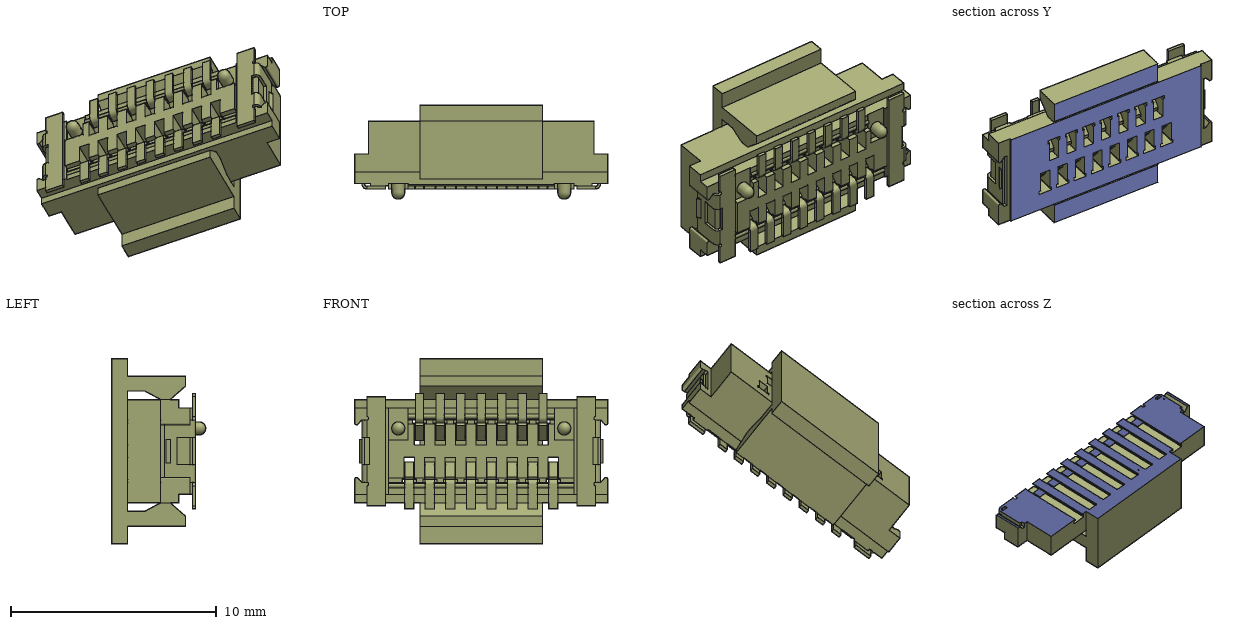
import cadquery as cq
import math


width = 12.3
rear_width = 10.97
height = 5.02
front_height = 4.21
rear_y = 3.31
ear_rear_y = 1.71
step_y = 0.82
front_y = 0.27

end_wall_x = 5.67
ear_z = 1.28
ear_lip = 0.14
ear_round = 0.07
undercut_z = 1.51

sheet = 0.16
plate_half_x = 4.51
plate_half_z = 1.32
peg_recess_x = 3.55
peg_recess_z = 0.54
pad_seat_x = 5.39
gutter_y = 0.25
rail_front_y = 0.22
rib_z = 1.69
rib_half_width = 0.11
rib_front_y = 0.15

peg_x = 4.03
peg_z = 1.11
peg_radius = 0.32
peg_straight = 0.17

upper_count = 7
lower_count = 8
upper_row_length = 6.0
pitch = upper_row_length / (upper_count - 1)
upper_lead_width = 0.4
lower_lead_width = 0.45
lead_end_z = 2.8
bend_radius = 0.25
bend_z = 1.61
ridge_y = 0.44
ridge_z = 1.25
tip_y = 1.48
tip_z = 0.52
slot_width = 0.5
slot_inner_z = 0.31
notch_width = 0.68
notch_inner_z = bend_z - bend_radius
slot_outer_z = notch_inner_z + sheet

pad_inner_x = 4.65
pad_outer_x = 5.56
pad_height = 5.31
relief_radius = 0.09
side_plate_x = 5.8
side_plate_rear_y = 1.53
tab_bend = 0.26
window_x = 5.42
window_y = 0.9
window_half_z = 0.65
barb_half_z = 0.58
barb_x = 5.93
barb_y = (1.23, 1.3, 1.44)
barb_knee = 0.04

cap_width = 5.98
cap_height = 9.0
cap_back_y = 4.08
leg_front_y = 0.49
leg_outer_z = 3.65
leg_inner_z = 2.92
leg_taper_y = 2.47
grip_y = (1.71, 1.23)
leg_nose_z = 3.16


def box(x0, x1, y0, y1, z0, z1):
    """Box between the given limits."""
    block = cq.Workplane("XY").box(x1 - x0, y1 - y0, z1 - z0, centered=False)
    return block.translate((x0, y0, z0))


def centred_box(x_size, y0, y1, z_size):
    """Box centred in X and Z."""
    return box(-x_size / 2, x_size / 2, y0, y1, -z_size / 2, z_size / 2)


def both_ends(half):
    """Join a shape with its mirror image across the YZ plane."""
    return half.union(half.mirror("YZ"))


def end_recess():
    """Recess between the two ears of the -X end, undercut behind their lips."""
    half = (
        cq.Workplane("XZ")
        .moveTo(-width / 2, 0)
        .lineTo(-width / 2, ear_z + ear_round)
        .radiusArc((-width / 2 + ear_round, ear_z), -ear_round)
        .lineTo(-width / 2 + ear_lip, ear_z)
        .lineTo(-side_plate_x, undercut_z)
        .lineTo(-end_wall_x, undercut_z)
        .lineTo(-end_wall_x, 0)
        .close()
        .extrude(-ear_rear_y)
    )
    return half.union(half.mirror("XY"))


def lead_rail(half_length):
    """Strip with a rounded rib behind the upper leads, and the gutter floor beside it."""
    return (
        cq.Workplane("YZ")
        .moveTo(front_y, plate_half_z)
        .lineTo(gutter_y, plate_half_z)
        .lineTo(gutter_y, slot_outer_z)
        .lineTo(rail_front_y, slot_outer_z)
        .lineTo(rail_front_y, rib_z - rib_half_width)
        .threePointArc((rib_front_y, rib_z), (rail_front_y, rib_z + rib_half_width))
        .lineTo(rail_front_y, front_height / 2)
        .lineTo(front_y, front_height / 2)
        .close()
        .extrude(half_length, both=True)
    )


def make_housing():
    body = centred_box(rear_width, step_y, rear_y, height)
    body = body.union(centred_box(width, step_y, ear_rear_y, height))
    body = body.union(centred_box(width, front_y, step_y, front_height))
    body = body.cut(both_ends(end_recess()))

    body = body.union(
        box(-plate_half_x, plate_half_x, 0, front_y, -plate_half_z, peg_recess_z)
    )
    body = body.union(
        box(-peg_recess_x, peg_recess_x, 0, front_y, -plate_half_z, plate_half_z)
    )

    seat_z = front_height / 2
    seat = box(-pad_seat_x, -plate_half_x, sheet, front_y, -seat_z, seat_z)
    body = body.union(both_ends(seat))

    body = body.union(lead_rail(peg_recess_x))
    body = body.union(lead_rail(plate_half_x).mirror("XY"))
    return body


def contact_slot(x):
    """Slot of an upper contact, running through the housing in Y."""
    half = slot_width / 2
    notch = notch_width / 2
    slot = box(x - half, x + half, 0, rear_y, slot_inner_z, slot_outer_z)
    return slot.union(box(x - notch, x + notch, 0, rear_y, notch_inner_z, slot_outer_z))


def contact(x, lead_width):
    """Upper contact: flat lead, bend, and a beam sloping back into the slot."""
    diagonal = math.sqrt(0.5)
    inner_radius = bend_radius - sheet
    beam = (
        cq.Workplane("YZ")
        .moveTo(0, lead_end_z)
        .lineTo(0, bend_z)
        .threePointArc(
            (bend_radius * (1 - diagonal), bend_z - bend_radius * diagonal),
            (bend_radius, notch_inner_z),
        )
        .lineTo(ridge_y + sheet / 2, notch_inner_z)
        .lineTo(ridge_y, ridge_z)
        .lineTo(tip_y, tip_z)
        .lineTo(tip_y, tip_z + sheet)
        .lineTo(ridge_y + 2 * sheet, slot_outer_z)
        .lineTo(bend_radius, slot_outer_z)
        .threePointArc(
            (bend_radius - inner_radius * diagonal, bend_z - inner_radius * diagonal),
            (sheet, bend_z),
        )
        .lineTo(sheet, lead_end_z)
        .close()
        .extrude(lead_width / 2, both=True)
    )
    return beam.translate((x, 0, 0))


def row_positions(count):
    return [(i - (count - 1) / 2) * pitch for i in range(count)]


def make_peg():
    cylinder = (
        cq.Workplane("XZ", origin=(-peg_x, front_y, peg_z))
        .circle(peg_radius)
        .extrude(front_y + peg_straight)
    )
    dome = cq.Workplane("XY").sphere(peg_radius).translate((-peg_x, -peg_straight, peg_z))
    return cylinder.union(dome)


def make_solder_tab():
    """Solder pad of the -X end, bent up into a plate on the end wall."""
    plate_thickness = side_plate_x - end_wall_x
    pad_half_z = pad_height / 2
    pad = box(-pad_outer_x, -pad_inner_x, 0, sheet, -pad_half_z, pad_half_z)
    relief_z = undercut_z + relief_radius
    reliefs = (
        cq.Workplane("XZ")
        .pushPoints([(-pad_outer_x, relief_z), (-pad_outer_x, -relief_z)])
        .circle(relief_radius)
        .extrude(-sheet)
    )
    pad = pad.cut(reliefs)

    bend_x = -side_plate_x + tab_bend
    inner_radius = tab_bend - plate_thickness
    side_plate = (
        cq.Workplane("XY")
        .moveTo(-side_plate_x, side_plate_rear_y)
        .lineTo(-side_plate_x, tab_bend)
        .radiusArc((bend_x, 0), -tab_bend)
        .lineTo(-pad_seat_x, 0)
        .lineTo(-pad_seat_x, sheet)
        .lineTo(bend_x, plate_thickness)
        .radiusArc((bend_x - inner_radius, tab_bend), inner_radius)
        .lineTo(-end_wall_x, side_plate_rear_y)
        .close()
        .extrude(undercut_z, both=True)
    )
    window = box(-side_plate_x, -window_x, 0, window_y, -window_half_z, window_half_z)

    start_y, knee_y, back_y = barb_y
    barb = (
        cq.Workplane("XY")
        .moveTo(-end_wall_x, start_y)
        .lineTo(-side_plate_x, start_y)
        .lineTo(-side_plate_x - barb_knee, knee_y)
        .lineTo(-barb_x, back_y)
        .lineTo(-end_wall_x, back_y)
        .close()
        .extrude(barb_half_z, both=True)
    )
    return pad.union(side_plate).cut(window).union(barb)


def make_cap():
    grip_back_y, grip_front_y = grip_y
    grip_z = height / 2
    leg = (
        cq.Workplane("YZ")
        .moveTo(rear_y, leg_outer_z)
        .lineTo(leg_front_y, leg_outer_z)
        .lineTo(leg_front_y, leg_nose_z)
        .lineTo(grip_front_y, grip_z)
        .lineTo(grip_back_y, grip_z)
        .lineTo(leg_taper_y, leg_inner_z)
        .lineTo(rear_y, leg_inner_z)
        .close()
        .extrude(cap_width / 2, both=True)
    )
    plate = centred_box(cap_width, rear_y, cap_back_y, cap_height)
    return plate.union(leg).union(leg.mirror("XY"))


housing = make_housing()
for x in row_positions(upper_count):
    housing = housing.cut(contact_slot(x))
for x in row_positions(lower_count):
    housing = housing.cut(contact_slot(x).mirror("XY"))

result = housing.union(make_cap())
result = result.union(both_ends(make_peg()))
result = result.union(both_ends(make_solder_tab()))
for x in row_positions(upper_count):
    result = result.union(contact(x, upper_lead_width))
for x in row_positions(lower_count):
    result = result.union(contact(x, lower_lead_width).mirror("XY"))